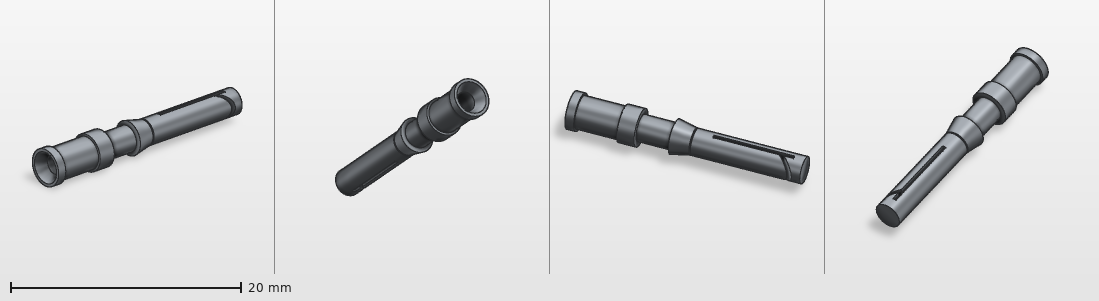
import cadquery as cq
import math

length = 21.6
front_y = -length / 2
back_y = length / 2

collar_diameter = 3.48
barrel_diameter = 3.05
cone_diameter = 3.22
rod_diameter = 2.46
neck_diameter = 1.81

flange_length = 0.82
barrel_length = 3.97
collar_length = 1.62
shank_length = 3.0
neck_length = 0.13
cone_length = 1.77

entry_diameter = 2.92
bore_diameter = 1.75
entry_angle = 60.0
bore_depth = 4.75
drill_point_angle = 118.0

slit_width = 0.32
slit_length = 7.47
slit_end_distance = 1.0
branch_distance = 2.22
branch_width = 0.3
branch_angle = 45.0


def revolve_about_y(points):
    """Revolve a closed (radius, y) outline around the Y axis."""
    return cq.Workplane("XY").polyline(points).close().revolve(360, (0, 0, 0), (0, 1, 0))


def make_body():
    """Stack the turned steps from the wire entry to the socket end."""
    steps = [
        (collar_diameter, collar_diameter, flange_length),
        (barrel_diameter, barrel_diameter, barrel_length),
        (collar_diameter, collar_diameter, collar_length),
        (rod_diameter, rod_diameter, shank_length),
        (neck_diameter, neck_diameter, neck_length),
        (cone_diameter, rod_diameter, cone_length),
        (neck_diameter, neck_diameter, neck_length),
    ]
    y = front_y
    outline = [(0, y)]
    for start_diameter, end_diameter, step_length in steps:
        outline.append((start_diameter / 2, y))
        y += step_length
        outline.append((end_diameter / 2, y))
    outline += [(rod_diameter / 2, y), (rod_diameter / 2, back_y), (0, back_y)]
    return revolve_about_y(outline)


def make_wire_entry():
    """Countersunk blind bore ending in a drill point."""
    bore_radius = bore_diameter / 2
    entry_depth = (entry_diameter / 2 - bore_radius) / math.tan(math.radians(entry_angle / 2))
    point_depth = bore_radius / math.tan(math.radians(drill_point_angle / 2))
    return revolve_about_y([
        (0, front_y),
        (entry_diameter / 2, front_y),
        (bore_radius, front_y + entry_depth),
        (bore_radius, front_y + bore_depth),
        (0, front_y + bore_depth + point_depth),
    ])


def make_slit():
    """Lengthwise slit with an oblique branch out to the +X side, cut through along Z."""
    slit_y = back_y - slit_end_distance - slit_length / 2
    main_slit = cq.Workplane("XY").center(0, slit_y).box(slit_width, slit_length, rod_diameter)
    branch = (
        cq.Workplane("XY")
        .box(rod_diameter, branch_width, rod_diameter, centered=(False, True, True))
        .rotate((0, 0, 0), (0, 0, 1), branch_angle)
        .translate((0, back_y - branch_distance, 0))
    )
    return main_slit.union(branch)


result = make_body().cut(make_wire_entry()).cut(make_slit())